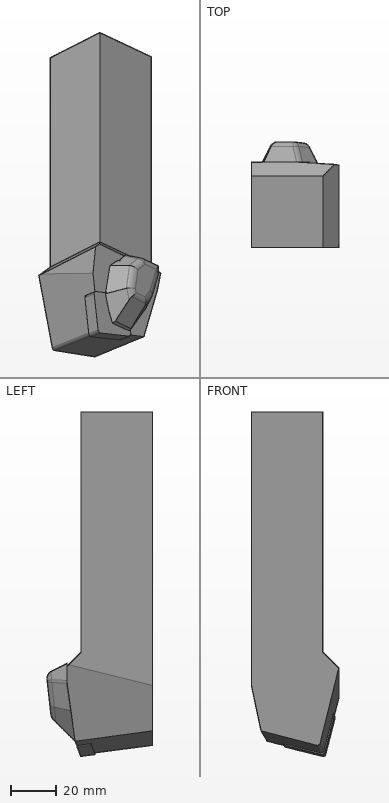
import cadquery as cq

length = 152.4
shank = 31.7
head_x = 38.9
head_y = 37.8
shoulder_z = 46.2

tool_normal = cq.Vector(0.065, 1.0, -0.131)
end_edge = cq.Vector(-1.0, 0.098, 0.248)
tip = (32.6, 31.7, -0.27)
tool_frame = cq.Plane(origin=tip, xDir=end_edge, normal=tool_normal)

insert_side = 19.0
insert_thickness = 6.4
nose_radius = 1.2
overhang = 0.6

flank_start_z = 31.4
flank_rise = 0.247
flank_lean = 0.212
head_corner_radius = 1.2

beyond = 182.9
trim_depth = 91.5

clamp_end_z = 43.5
nose_z = 6.5
left_corner = (2.6, 32.8)
upper_right_corner = (22.5, clamp_end_z)
clamp_outline = [
    (3.5, clamp_end_z),
    upper_right_corner,
    (31.2, 33.5),
    (31.2, 19.0),
    (25.6, nose_z),
    (15.2, nose_z),
    (6.4, 19.7),
    left_corner,
]
clamp_root_y = 33.5
clamp_top_y = 47.5
clamp_draft = 27.0
clamp_corner_radius = 3.8
clamp_rounding = 3.8
clamp_upper_z = 41.1
clamp_top_slope = 0.11
buried_z = 36.5
nose_y = 34.1


def shouldered_profile(plane, direction, reach):
    """Shank widened to reach below a 45 degree shoulder, swept across the part."""
    step_z = shoulder_z - (reach - shank)
    points = [(0, 0), (reach, 0), (reach, step_z), (shank, shoulder_z), (shank, length), (0, length)]
    return cq.Workplane(plane).polyline(points).close().extrude(direction * head_x)


def make_head_trim():
    """Prism along the tool axis bounding the end and side faces."""
    width = beyond - overhang
    corner = cq.Workplane(tool_frame).center(overhang, overhang)
    prism = corner.rect(width, width, centered=False).extrude(-trim_depth)
    tool_edges = prism.edges(cq.selectors.ParallelDirSelector(tool_normal))
    middle = cq.Workplane(tool_frame).center(overhang, overhang).workplane(offset=-trim_depth / 2)
    nearest = cq.selectors.NearestToPointSelector(middle.plane.origin.toTuple())
    return tool_edges.edges(nearest).fillet(head_corner_radius)


def make_flank_cut():
    """Block outside the leaning flank on the -X side."""
    outward = cq.Vector(-1, flank_lean * flank_rise, -flank_lean)
    upper_edge = cq.Vector(0, 1, flank_rise)
    flank = cq.Plane(origin=(0, 0, flank_start_z), xDir=upper_edge, normal=outward)
    return cq.Workplane(flank).rect(beyond, beyond).extrude(trim_depth)


def make_clamp():
    """Drafted pad with a sloping top and a 45 degree nose, rounded along its upper edges."""
    root = cq.Plane(origin=(0, clamp_root_y, 0), xDir=(1, 0, 0), normal=(0, 1, 0))
    outline = [(x, -z) for x, z in clamp_outline]
    pad_height = clamp_top_y - clamp_root_y
    pad = cq.Workplane(root).polyline(outline).close().extrude(pad_height, taper=clamp_draft)
    for x, z in (left_corner, upper_right_corner):
        nearest = cq.selectors.NearestToPointSelector((x, clamp_root_y + pad_height / 2, z))
        pad = pad.edges("not #Y").edges(nearest).fillet(clamp_corner_radius)

    top_at_nose = clamp_top_y - clamp_top_slope * (clamp_upper_z - nose_z)
    ramp_run = (top_at_nose - nose_y) / (1 - clamp_top_slope)
    root_drop = nose_y - clamp_root_y
    side_points = [
        (clamp_root_y, nose_z - root_drop),
        (nose_y + ramp_run, nose_z + ramp_run),
        (clamp_top_y, clamp_upper_z),
        (clamp_top_y, shoulder_z),
        (head_y, shoulder_z),
        (head_y, buried_z),
        (clamp_root_y, buried_z),
    ]
    side_trim = cq.Workplane("YZ").polyline(side_points).close().extrude(head_x)
    clamp = pad.intersect(side_trim)
    return clamp.faces(">Y").edges().fillet(clamp_rounding)


def make_insert():
    """Square insert with rounded corners, its face in the tool frame plane."""
    plate = cq.Workplane(tool_frame).rect(insert_side, insert_side, centered=False)
    plate = plate.extrude(-insert_thickness)
    return plate.edges(cq.selectors.ParallelDirSelector(tool_normal)).fillet(nose_radius)


def make_holder(insert):
    """Shank, head and clamp in one piece, with a pocket that fits the insert."""
    block = shouldered_profile("XZ", -1, head_x).intersect(shouldered_profile("YZ", 1, head_y))
    head = block.intersect(make_head_trim()).cut(make_flank_cut())
    face_trim = cq.Workplane(tool_frame).rect(2 * beyond, 2 * beyond).extrude(-trim_depth)
    return head.intersect(face_trim).union(make_clamp()).cut(insert)


insert = make_insert()
holder = make_holder(insert)

result = cq.Compound.makeCompound([holder.val(), insert.val()])